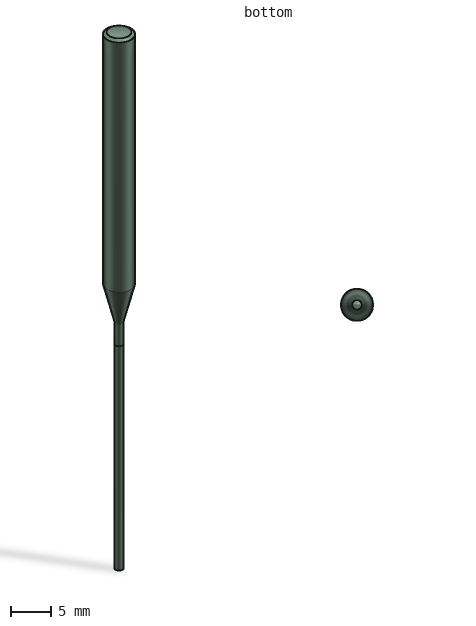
import cadquery as cq
import math

total_length = 79.0
shank_diameter = 4.0
shank_chamfer_width = 0.5
shank_chamfer_height = 0.3
shank_bottom = 42.0
taper_bottom = 36.5
neck_bottom = 33.2
drill_diameter = 1.2
point_angle = 140.0

shank_radius = shank_diameter / 2
drill_radius = drill_diameter / 2
point_height = drill_radius / math.tan(math.radians(point_angle / 2))


def turn(profile):
    """Revolve a closed half profile, given as (radius, height) points, about Z."""
    return cq.Workplane("XZ").polyline(profile).close().revolve(360, (0, 0, 0), (0, 1, 0))


def make_holder():
    """Chamfered shank, conical taper and short neck."""
    return turn([
        (0, neck_bottom),
        (drill_radius, neck_bottom),
        (drill_radius, taper_bottom),
        (shank_radius, shank_bottom),
        (shank_radius, total_length - shank_chamfer_height),
        (shank_radius - shank_chamfer_width, total_length),
        (0, total_length),
    ])


def make_drill():
    """Slender round drill with a shallow conical point, butted against the neck."""
    return turn([
        (0, 0),
        (drill_radius, point_height),
        (drill_radius, neck_bottom),
        (0, neck_bottom),
    ])


holder = make_holder()
drill = make_drill()
result = cq.Compound.makeCompound([holder.val(), drill.val()])